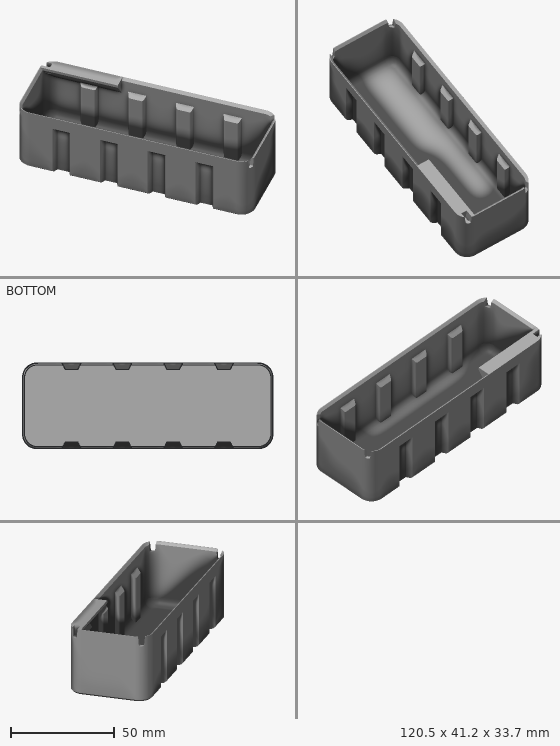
import cadquery as cq
length = 120.5
width = 41.2
height = 33.7
floor_thickness = 1.0
corner_radius = 7.0
floor_fillet = 4.1
foot_chamfer = 1.0
rim_chamfer = 1.2
rim_land = 0.3
wall = rim_land + rim_chamfer

flute_count = 4
flute_pitch = 24.5
flank_slope = 0.5
groove_width = 9.2
groove_depth = 3.1
groove_top = 27.2
rib_width = 9.4
rib_depth = 2.2
rib_top = 26.6
rib_corner_radius = 1.1

lip_length = 40.0
lip_reach = corner_radius
lip_edge = 1.5
gusset_drop = 7.2

slot_length = 4.7
slot_inset = 3.7
slot_depth = 5.0
slot_top_width = 3.0
slot_bottom_width = 2.2
slot_round = 0.7

wall_outside = width / 2
wall_inside = wall_outside - wall


def rounded_outline(inset, level):
    """Outline of the tray moved inward by the inset, at the given height."""
    outline = (
        cq.Sketch()
        .rect(length - 2 * inset, width - 2 * inset)
        .vertices()
        .fillet(corner_radius - inset)
    )
    return cq.Workplane("XY").workplane(offset=level).placeSketch(outline)


def outer_block():
    """Solid envelope of the tray with its chamfered foot."""
    return rounded_outline(0, 0).extrude(height).faces("<Z").edges().chamfer(foot_chamfer)


def cavity():
    """Inside space: filleted floor, straight walls and a flared mouth."""
    space = rounded_outline(wall, floor_thickness).extrude(height - floor_thickness)
    space = space.faces("<Z").edges().fillet(floor_fillet)
    mouth = rounded_outline(wall, height - rim_chamfer).extrude(rim_chamfer, taper=-45)
    return space.union(mouth)


def flute_bar(face_y, base_width, depth, bottom, top, tip_radius=0):
    """Bar reaching inward from the -Y wall, with sloped flanks and a 45 degree top."""
    half_base = base_width / 2
    half_tip = half_base - depth * flank_slope
    tip_y = face_y + depth
    flanks = (
        cq.Workplane("XY")
        .workplane(offset=bottom)
        .polyline([(-half_base, face_y), (half_base, face_y), (half_tip, tip_y), (-half_tip, tip_y)])
        .close()
        .extrude(top - bottom)
    )
    if tip_radius:
        flanks = flanks.edges("|Z and >Y").fillet(tip_radius)
    sloped_top = (
        cq.Workplane("YZ")
        .polyline([(face_y, bottom), (face_y, top), (tip_y, top - depth), (tip_y, bottom)])
        .close()
        .extrude(half_base, both=True)
    )
    return flanks.intersect(sloped_top)


def along_both_walls(bar):
    """Row of copies of a bar along the -Y wall, mirrored onto the +Y wall."""
    first_x = -flute_pitch * (flute_count - 1) / 2
    row = cq.Workplane("XY")
    for index in range(flute_count):
        row = row.add(bar.translate((first_x + index * flute_pitch, 0, 0)))
    row = row.combine()
    return row.union(row.mirror("XZ"))


def lip():
    """Lip and gusset at the -X end of the +Y wall, trimmed to the rounded corner."""
    lip_y = wall_outside - lip_reach
    lip_underside = height - lip_edge
    bar = (
        cq.Workplane("YZ")
        .workplane(offset=-length / 2)
        .moveTo(wall_outside, height)
        .lineTo(lip_y, height)
        .lineTo(lip_y, lip_underside)
        .lineTo(wall_inside, lip_underside - gusset_drop)
        .lineTo(wall_outside, lip_underside - gusset_drop)
        .close()
        .extrude(lip_length)
    )
    return bar.intersect(rounded_outline(0, 0).extrude(height))


def corner_slots():
    """Tapered, round-bottomed slots entering each corner from the ends."""
    half_top = slot_top_width / 2
    half_bottom = slot_bottom_width / 2
    slot_floor = height - slot_depth
    slot = (
        cq.Workplane("YZ")
        .polyline(
            [(-half_top, height), (half_top, height), (half_bottom, slot_floor), (-half_bottom, slot_floor)]
        )
        .close()
        .extrude(slot_length)
        .edges("|X and <Z")
        .fillet(slot_round)
        .translate((-length / 2, slot_inset - wall_outside, 0))
    )
    end_pair = slot.union(slot.mirror("XZ"))
    return end_pair.union(end_pair.mirror("YZ"))


rib = flute_bar(-wall_inside, rib_width, rib_depth, floor_thickness, rib_top, rib_corner_radius)
ribs = along_both_walls(rib)
groove = flute_bar(-wall_outside, groove_width, groove_depth, 0, groove_top)
grooves = along_both_walls(groove)

result = outer_block().cut(cavity()).union(ribs).union(lip()).cut(grooves).cut(corner_slots())